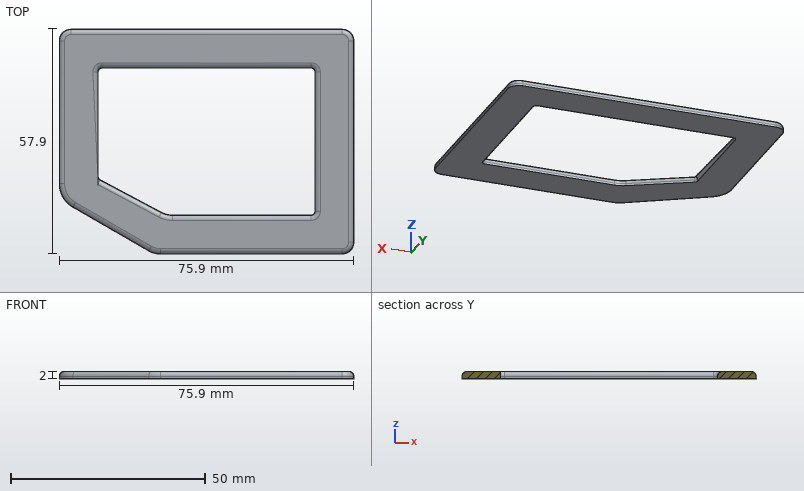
import cadquery as cq
import math

length = 75.9
width = 57.9
thickness = 2.0
edge_round = 1.4

corner_radius = 3.0
cut_length = 24.45
cut_angle = 30.0
cut_side_radius = 7.0
bend_radius = 6.0

frame_width = 10.0
window_corner_radius = 1.0
window_cut_length = 17.6
window_cut_angle = 28.0
faded_round = 0.1

window_half_x = length / 2 - frame_width
window_half_y = width / 2 - frame_width
window_cut_height = window_cut_length * math.tan(math.radians(window_cut_angle))

left_side_x = -window_half_x
left_side_top = window_half_y - window_corner_radius
left_corner_turn = math.radians(90 - window_cut_angle)
left_corner_y = -window_half_y + window_cut_height
left_side_bottom = left_corner_y + window_corner_radius * math.tan(left_corner_turn / 2)


def clipped_prism(half_x, half_y, clip_length, clip_angle, square_radius, side_radius):
    """Rounded rectangular prism with its (-X, -Y) corner cut off at an angle to X."""
    clip_height = clip_length * math.tan(math.radians(clip_angle))
    side_end = (-half_x, -half_y + clip_height)
    front_end = (-half_x + clip_length, -half_y)
    square_corners = [(half_x, -half_y), (half_x, half_y), (-half_x, half_y)]
    outline = [front_end, *square_corners, side_end]
    prism = cq.Workplane("XY").polyline(outline).close().extrude(thickness)

    def upright_edge(corner):
        return cq.selectors.NearestToPointSelector((*corner, thickness / 2))

    for corner in square_corners:
        prism = prism.edges(upright_edge(corner)).fillet(square_radius)
    prism = prism.edges(upright_edge(side_end)).fillet(side_radius)
    return prism.edges(upright_edge(front_end)).fillet(bend_radius)


def rounding_section(radius, y):
    """Section of the material that an edge round removes from the left side at a given y."""
    diagonal = radius * math.sqrt(0.5)
    top = thickness
    start = cq.Vector(left_side_x - radius, y, top)
    middle = cq.Vector(left_side_x - radius + diagonal, y, top - radius + diagonal)
    end = cq.Vector(left_side_x, y, top - radius)
    corner = cq.Vector(left_side_x, y, top)
    return cq.Wire.assembleEdges([
        cq.Edge.makeThreePointArc(start, middle, end),
        cq.Edge.makeLine(end, corner),
        cq.Edge.makeLine(corner, start),
    ])


def fading_left_strip(sharp_frame):
    """Strip of frame along the window's left side, with a round that fades towards -Y."""
    strip_width = 1.2 * edge_round
    strip_bottom = left_corner_y - 2 * edge_round
    strip_box = cq.Workplane("XY").box(
        strip_width, left_side_top - strip_bottom, thickness, centered=False
    ).translate((left_side_x - strip_width, strip_bottom, 0))
    fading_round = cq.Solid.makeLoft([
        rounding_section(edge_round, left_side_top),
        rounding_section(faded_round, left_side_bottom),
    ], True)
    return sharp_frame.intersect(strip_box).cut(cq.Workplane(fading_round))


plate = clipped_prism(length / 2, width / 2, cut_length, cut_angle, corner_radius, cut_side_radius)
plate = plate.faces(">Z").edges().fillet(edge_round)

window = clipped_prism(window_half_x, window_half_y, window_cut_length, window_cut_angle,
                       window_corner_radius, window_corner_radius)
sharp_frame = plate.cut(window)

window_rim = sharp_frame.faces(">Z").val().innerWires()[0]
rounded_frame = sharp_frame.newObject(window_rim.Edges()).fillet(edge_round)
frame = rounded_frame.union(fading_left_strip(sharp_frame))
result = cq.Workplane(frame.solids().val())